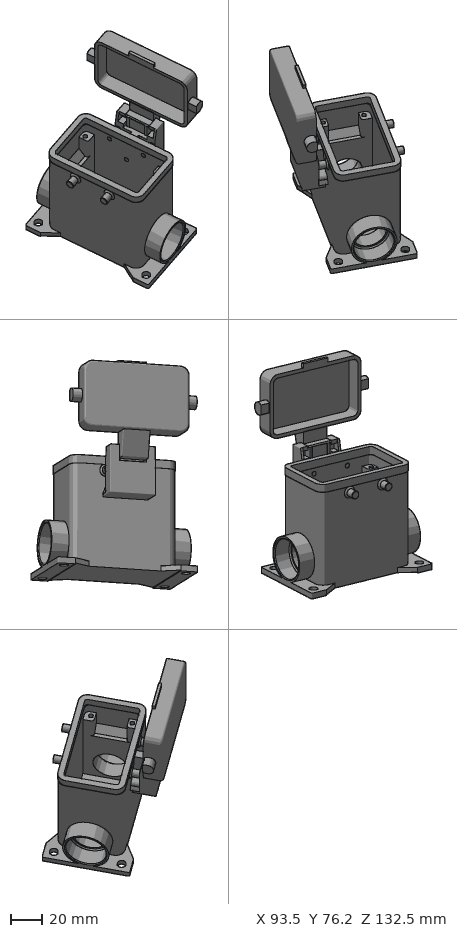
import cadquery as cq
import math

PAD_DROP = 0.5
FLANGE_TOP = 4.0
RIM_TOP = 72.9
RIM_BOTTOM = 67.5
RIM_LENGTH = 71.0
RIM_WIDTH = 44.1
SHELL_LENGTH = 70.5
SHELL_WIDTH = 43.7
SHELL_CORNER = 6.1
MOUTH_LENGTH = 63.2
MOUTH_WIDTH = 36.0
MOUTH_CORNER = 1.9
CAVITY_LENGTH = 63.0
CAVITY_WIDTH = 35.8
CAVITY_CORNER = 3.2
FLOOR_TOP = 4.5
BACK_FACE = SHELL_WIDTH / 2
BACK_INNER_FACE = CAVITY_WIDTH / 2

FLANGE_LENGTH = 93.5
FLANGE_WIDTH = 57.2
FLANGE_CORNER = 1.0
PAD_INNER_X = 35.2
SLANT_INNER_X = 24.1
MOUNT_HOLE_DIAMETER = 5.5
MOUNT_HOLE_X = 41.0
MOUNT_HOLE_Y = 22.1

SOCKET_RADIUS = 15.1
SOCKET_HEIGHT = 18.2
SOCKET_BORE_RADIUS = 13.2
SOCKET_BORE_DEPTH = 11.3
SOCKET_MOUTH_CHAMFER = 0.7
SOCKET_SEAT_RADIUS = 12.3
SOCKET_SEAT_DEPTH = 0.9
CABLE_HOLE_RADIUS = 11.3

POST_SIZE = 7.2
POST_TOP = 60.7
POST_CORNER = 1.9
POST_HOLE_RADIUS = 1.5
POST_HOLE_END_RADIUS = 0.4
POST_HOLE_DEPTH = 10.6
POST_HOLE_FROM_END = 3.0
POST_HOLE_FROM_SIDE = 4.4
LEDGE_TOP = 50.0
LEDGE_SLOPE = 4.6

PEG_X = 12.9
PEG_HEIGHT = 63.6
PEG_RADIUS = 2.6
PEG_ROOT_RADIUS = 4.0
PEG_ROOT_LENGTH = 1.0
PEG_TIP_CHAMFER = 0.3
SEAT_FACE = 28.0
SEAT_BOTTOM = 48.0
SEAT_TOP = 67.2
RIB_TOP_X = 2.6
RIB_FOOT_X = 5.2
RIB_FOOT_Z = 59.1
FOOT_TOP_Z = 53.5
FOOT_SHOULDER_Z = 51.0
FOOT_TIP_X = 15.1
FOOT_SHOULDER_X = 13.6

COVER_LENGTH = 70.5
COVER_BOTTOM = 85.9
COVER_TOP = 129.6
COVER_FRONT = 35.0
COVER_BACK = 47.6
COVER_CORNER = 6.1
COVER_WALL = 2.5
COVER_BACK_FILLET = 1.9
TAB_LENGTH = 19.0
TAB_TOP = 132.5
TAB_THICKNESS = 2.0
LUG_SPAN = 83.2
LUG_RADIUS = 4.4
LUG_Y = 38.8
LUG_Z = 107.7
LUG_FLAT_Y = 35.9

SLOT_WIDTH = 18.0
BRACKET_WIDTH = 30.2
BRACKET_BACK = 38.8
BRACKET_TOP = 77.6
BRACKET_TOP_FRONT = 30.0
BRACKET_SLANT_Z = 67.6
BRACKET_BOTTOM = 45.8
BRACKET_TOE = 23.5
BRACKET_FILLET = 0.5
EAR_WALL = 1.7
EAR_RECESS_Y = 30.6
EAR_CAP_BOTTOM = 74.9
EAR_POCKET_Y = 33.8
EAR_STEP_TOP = 70.2
RECESS_RADIUS = 1.6
RECESS_DEPTH = 0.1
RECESSES = [(-PEG_X, PEG_HEIGHT), (PEG_X, PEG_HEIGHT), (0, 51.7)]

ARM_FRONT = 35.5
ARM_TOP = 88.8
ARM_TOP_BACK = 47.3
ARM_BOTTOM = 68.9
ARM_BOTTOM_BACK = 42.5
ARM_FILLET = 0.5
TONGUE_TOP = 77.5
TONGUE_FRONT = 30.1
TONGUE_BOTTOM = 67.6
TONGUE_BEVEL = 0.9
TONGUE_WIDTH = 15.8
PANEL_WIDTH = 11.4
PANEL_DEPTH = 0.4

SIDES = (-1, 1)
HALF_ROOT = math.sqrt(0.5)
OVERLAP = 1.3


def box(x0, x1, y0, y1, z0, z1):
    """Block between the given limits."""
    return cq.Workplane("XY").box(x1 - x0, y1 - y0, z1 - z0, centered=False).translate((x0, y0, z0))


def rounded_prism(length, width, corner, z0, z1):
    """Upright block centred on the Z axis with rounded vertical edges."""
    block = box(-length / 2, length / 2, -width / 2, width / 2, z0, z1)
    return block.edges("|Z").fillet(corner)


def cylinder(radius, length, start, direction):
    """Cylinder that starts at a point and runs along a direction."""
    return cq.Workplane(cq.Solid.makeCylinder(radius, length, cq.Vector(*start), cq.Vector(*direction)))


def along_y(x, z, radius, y0, y1):
    """Cylinder parallel to Y."""
    return cylinder(radius, y1 - y0, (x, y0, z), (0, 1, 0))


def along_x(y, z, radius, x0, x1):
    """Cylinder parallel to X."""
    return cylinder(radius, x1 - x0, (x0, y, z), (1, 0, 0))


def cone(radius, end_radius, length, start, direction):
    """Cone that starts at a point with one radius and ends with another."""
    solid = cq.Solid.makeCone(radius, end_radius, length, cq.Vector(*start), cq.Vector(*direction))
    return cq.Workplane(solid)


def flange(side):
    """End flange: a pad at full depth and slanted sides that run to the shell."""
    end = FLANGE_LENGTH / 2
    half = FLANGE_WIDTH / 2
    outline = [
        (end, half), (PAD_INNER_X, half), (SLANT_INNER_X, BACK_FACE),
        (SLANT_INNER_X, -BACK_FACE), (PAD_INNER_X, -half), (end, -half),
    ]
    plate = cq.Workplane("XY").polyline(outline).close().extrude(FLANGE_TOP)
    plate = plate.edges("|Z and >X").fillet(FLANGE_CORNER)
    plate = plate.cut(box(0, PAD_INNER_X, -half, half, 0, PAD_DROP))
    return plate if side > 0 else plate.mirror("YZ")


def posts_and_ledge(side):
    """Two corner posts and the sloped ledge between them at one end of the cavity."""
    end = CAVITY_LENGTH / 2
    inner = end - POST_SIZE
    half = BACK_INNER_FACE
    ledge_low = LEDGE_TOP - LEDGE_SLOPE
    ledge_outline = [
        (inner, PAD_DROP), (inner, ledge_low), (end - LEDGE_SLOPE, ledge_low), (end, LEDGE_TOP),
        (end + OVERLAP, LEDGE_TOP), (end + OVERLAP, PAD_DROP),
    ]
    group = cq.Workplane("XZ").polyline(ledge_outline).close().extrude(half, both=True)
    for y_side in SIDES:
        post = box(inner, end + OVERLAP, half - POST_SIZE, half + OVERLAP, PAD_DROP, POST_TOP)
        post = post.edges("|Z and <X and <Y").fillet(POST_CORNER)
        group = group.union(post if y_side > 0 else post.mirror("XZ"))
    return group if side > 0 else group.mirror("YZ")


def peg(side, face, direction, tip):
    """Peg with a flared root, standing on the front or rear wall."""
    x = side * PEG_X
    shank = along_y(x, PEG_HEIGHT, PEG_RADIUS, min(face, tip), max(face, tip))
    root = cone(PEG_ROOT_RADIUS, PEG_RADIUS, PEG_ROOT_LENGTH, (x, face, PEG_HEIGHT), (0, direction, 0))
    return shank.union(root)


def hinge_seat():
    """Anchor-shaped seat behind the shell: a tapered rib that sweeps out into two feet."""
    sweep_radius = RIB_FOOT_Z - FOOT_TOP_Z
    foot_radius = FOOT_TOP_Z - FOOT_SHOULDER_Z
    foot_start_x = FOOT_SHOULDER_X - foot_radius
    sweep_middle = (
        RIB_FOOT_X + sweep_radius * (1 - HALF_ROOT),
        RIB_FOOT_Z - sweep_radius * HALF_ROOT,
    )
    foot_middle = (
        foot_start_x + foot_radius * HALF_ROOT,
        FOOT_SHOULDER_Z + foot_radius * HALF_ROOT,
    )
    half = (
        cq.Workplane("XZ", origin=(0, SEAT_FACE, 0))
        .moveTo(0, SEAT_BOTTOM).lineTo(0, SEAT_TOP)
        .lineTo(RIB_TOP_X, SEAT_TOP).lineTo(RIB_FOOT_X, RIB_FOOT_Z)
        .threePointArc(sweep_middle, (RIB_FOOT_X + sweep_radius, FOOT_TOP_Z))
        .lineTo(foot_start_x, FOOT_TOP_Z)
        .threePointArc(foot_middle, (FOOT_SHOULDER_X, FOOT_SHOULDER_Z))
        .lineTo(FOOT_TIP_X, SEAT_BOTTOM).close()
        .extrude(SEAT_FACE - BACK_FACE + OVERLAP)
    )
    return half.union(half.mirror("YZ"))


def hinge_bracket():
    """Block with a toe under the seat, two recessed ears and a slot between them for the cover arm."""
    outline = [
        (BRACKET_BACK, BRACKET_BOTTOM), (BRACKET_BACK, BRACKET_TOP), (BRACKET_TOP_FRONT, BRACKET_TOP),
        (SEAT_FACE, BRACKET_SLANT_Z), (SEAT_FACE, SEAT_BOTTOM), (BRACKET_TOE, SEAT_BOTTOM),
        (BRACKET_TOE, BRACKET_BOTTOM),
    ]
    half = BRACKET_WIDTH / 2
    slot_x = SLOT_WIDTH / 2
    recess_x = half - EAR_WALL
    block = cq.Workplane("YZ").polyline(outline).close().extrude(half, both=True)
    block = block.faces(">Y or >Z or <Z").edges("not <Y").fillet(BRACKET_FILLET)
    block = block.cut(box(-slot_x, slot_x, BRACKET_TOE, BRACKET_BACK, SEAT_TOP, BRACKET_TOP))
    pocket_outline = [
        (BRACKET_TOE, BRACKET_TOP), (EAR_RECESS_Y, BRACKET_TOP), (EAR_RECESS_Y, EAR_CAP_BOTTOM),
        (EAR_POCKET_Y, EAR_CAP_BOTTOM), (EAR_POCKET_Y, EAR_STEP_TOP), (BRACKET_TOE, EAR_STEP_TOP),
    ]
    pocket = (
        cq.Workplane("YZ", origin=(slot_x, 0, 0))
        .polyline(pocket_outline).close().extrude(recess_x - slot_x)
    )
    return block.cut(pocket).cut(pocket.mirror("YZ"))


def socket_bore(side):
    """Stepped bore of one socket: chamfered mouth, straight bore and tapered bottom."""
    mouth_x = side * FLANGE_LENGTH / 2
    bottom_x = mouth_x - side * SOCKET_BORE_DEPTH
    inward = (-side, 0, 0)
    mouth_radius = SOCKET_BORE_RADIUS + SOCKET_MOUTH_CHAMFER
    bore = along_x(0, SOCKET_HEIGHT, SOCKET_BORE_RADIUS, min(mouth_x, bottom_x), max(mouth_x, bottom_x))
    mouth = cone(mouth_radius, SOCKET_BORE_RADIUS, SOCKET_MOUTH_CHAMFER, (mouth_x, 0, SOCKET_HEIGHT), inward)
    seat = cone(
        SOCKET_BORE_RADIUS, SOCKET_SEAT_RADIUS, SOCKET_SEAT_DEPTH, (bottom_x, 0, SOCKET_HEIGHT), inward
    )
    return bore.union(mouth).union(seat)


def make_housing():
    body = rounded_prism(SHELL_LENGTH, SHELL_WIDTH, SHELL_CORNER, PAD_DROP, RIM_TOP)
    body = body.union(rounded_prism(RIM_LENGTH, RIM_WIDTH, SHELL_CORNER, RIM_BOTTOM, RIM_TOP))
    for side in SIDES:
        body = body.union(flange(side))
    socket_half = FLANGE_LENGTH / 2
    body = body.union(along_x(0, SOCKET_HEIGHT, SOCKET_RADIUS, -socket_half, socket_half))

    body = body.union(hinge_seat()).union(hinge_bracket())
    for side in SIDES:
        front_peg = peg(side, -BACK_FACE, -1, -FLANGE_WIDTH / 2)
        body = body.union(front_peg.faces("<Y").chamfer(PEG_TIP_CHAMFER))
        body = body.union(peg(side, BACK_FACE, 1, SEAT_FACE))

    cavity = rounded_prism(CAVITY_LENGTH, CAVITY_WIDTH, CAVITY_CORNER, FLOOR_TOP, RIM_BOTTOM)
    cavity = cavity.union(rounded_prism(MOUTH_LENGTH, MOUTH_WIDTH, MOUTH_CORNER, RIM_BOTTOM, RIM_TOP))
    body = body.cut(cavity)
    for side in SIDES:
        body = body.union(posts_and_ledge(side))

    body = body.cut(along_x(0, SOCKET_HEIGHT, CABLE_HOLE_RADIUS, -socket_half, socket_half))
    for side in SIDES:
        body = body.cut(socket_bore(side))

    for x_side in SIDES:
        for y_side in SIDES:
            mount_centre = (x_side * MOUNT_HOLE_X, y_side * MOUNT_HOLE_Y, 0)
            mount_hole = cylinder(MOUNT_HOLE_DIAMETER / 2, FLANGE_TOP, mount_centre, (0, 0, 1))
            post_hole_x = x_side * (CAVITY_LENGTH / 2 - POST_HOLE_FROM_END)
            post_hole_y = y_side * (BACK_INNER_FACE - POST_HOLE_FROM_SIDE)
            post_hole = cone(
                POST_HOLE_RADIUS, POST_HOLE_END_RADIUS, POST_HOLE_DEPTH,
                (post_hole_x, post_hole_y, POST_TOP), (0, 0, -1),
            )
            body = body.cut(mount_hole).cut(post_hole)

    for x, z in RECESSES:
        body = body.cut(along_y(x, z, RECESS_RADIUS, BACK_INNER_FACE, BACK_INNER_FACE + RECESS_DEPTH))
    return body


def cover_shell():
    """Shallow tray, open to the front, with a finger tab and two flatted lugs."""
    half = COVER_LENGTH / 2
    tray = box(-half, half, COVER_FRONT, COVER_BACK, COVER_BOTTOM, COVER_TOP)
    tray = tray.edges("|Y").fillet(COVER_CORNER).faces(">Y").edges().fillet(COVER_BACK_FILLET)
    hollow = box(
        -half + COVER_WALL, half - COVER_WALL, COVER_FRONT, COVER_BACK - COVER_WALL,
        COVER_BOTTOM + COVER_WALL, COVER_TOP - COVER_WALL,
    ).edges("|Y").fillet(COVER_CORNER - COVER_WALL)
    lug_end = LUG_SPAN / 2
    lugs = along_x(LUG_Y, LUG_Z, LUG_RADIUS, -lug_end, lug_end)
    lug_front = LUG_Y - LUG_RADIUS
    lugs = lugs.cut(box(-lug_end, lug_end, lug_front, LUG_FLAT_Y, LUG_Z - LUG_RADIUS, LUG_Z + LUG_RADIUS))
    tab_end = TAB_LENGTH / 2
    tab_back = COVER_FRONT + TAB_THICKNESS
    tab = box(-tab_end, tab_end, COVER_FRONT, tab_back, COVER_TOP - COVER_WALL, TAB_TOP)
    return tray.union(lugs).union(tab).cut(hollow)


def hinge_arm():
    """Tapered arm below the tray, with a bevelled tongue that fills the front of the bracket slot."""
    overlap_z = COVER_BOTTOM + COVER_WALL / 2
    arm_outline = [
        (ARM_FRONT, ARM_BOTTOM), (ARM_FRONT, overlap_z), (COVER_BACK - COVER_WALL, overlap_z),
        (ARM_TOP_BACK, ARM_TOP), (ARM_BOTTOM_BACK, ARM_BOTTOM),
    ]
    arm = cq.Workplane("YZ").polyline(arm_outline).close().extrude(SLOT_WIDTH / 2, both=True)
    slant_middle = (0, (ARM_TOP_BACK + ARM_BOTTOM_BACK) / 2, (ARM_TOP + ARM_BOTTOM) / 2)
    slanted_face = arm.faces(cq.selectors.NearestToPointSelector(slant_middle))
    arm = slanted_face.edges("not(>Z)").fillet(ARM_FILLET)

    tongue_back = ARM_FRONT + ARM_FILLET
    bevel_z = TONGUE_TOP - TONGUE_BEVEL
    cap_outline = [
        (tongue_back, bevel_z), (tongue_back, TONGUE_TOP), (TONGUE_FRONT + TONGUE_BEVEL, TONGUE_TOP),
        (TONGUE_FRONT, bevel_z),
    ]
    cap = cq.Workplane("YZ").polyline(cap_outline).close().extrude(SLOT_WIDTH / 2, both=True)
    tongue = box(-TONGUE_WIDTH / 2, TONGUE_WIDTH / 2, TONGUE_FRONT, tongue_back, TONGUE_BOTTOM, bevel_z)
    panel_back = TONGUE_FRONT + PANEL_DEPTH
    panel = box(-PANEL_WIDTH / 2, PANEL_WIDTH / 2, TONGUE_FRONT, panel_back, TONGUE_BOTTOM, bevel_z)
    return arm.union(cap).union(tongue.cut(panel))


housing = make_housing()
cover = cover_shell().union(hinge_arm())

result = cq.Compound.makeCompound([housing.val(), cover.val()])